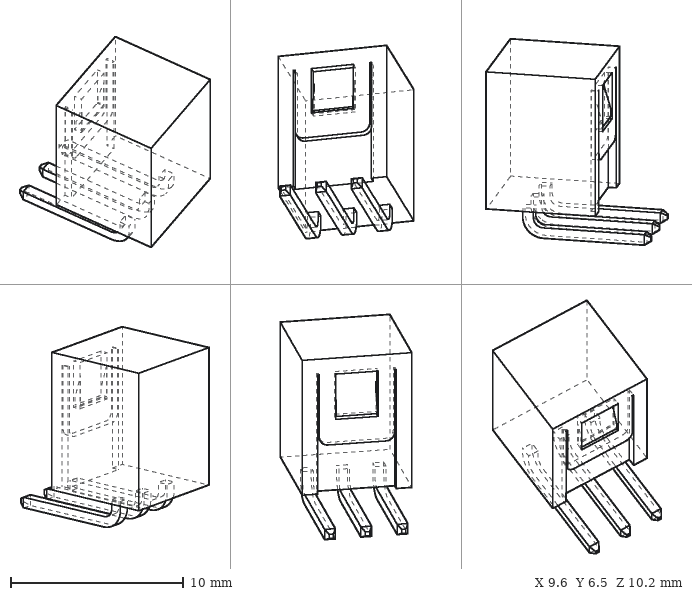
import cadquery as cq

housing_side = 6.5
housing_height = 8.36
overall_length = 9.6
overall_height = 10.17

recess_width = 4.66
recess_depth = 0.47
recess_top = housing_height - 1.0

slot_width = 0.1
tongue_width = recess_width - 2 * slot_width
tongue_bottom = housing_height - 5.36
tongue_radius = 0.51

window_width = 2.5
window_bottom = housing_height - 3.8

catch_width = 2.4
catch_height = 0.4
catch_top = housing_height - 1.81
catch_ridge = housing_height - 3.17
catch_bottom = housing_height - 3.65

pin_count = 3
pin_pitch = 2.15
pin_size = 0.64
pin_setback = 3.85
bend_inner_radius = 0.6
tip_length = 0.36
tip_size = 0.24


def block(depth, width, bottom, top):
    """Box running back from the latch face, centred on Y = 0."""
    box = cq.Workplane("XY").box(depth, width, top - bottom, centered=(False, True, False))
    return box.translate((0, 0, bottom))


def make_housing():
    body = block(housing_side, housing_side, 0, housing_height)
    recess = block(recess_depth, recess_width, 0, recess_top)
    return body.cut(recess)


def make_tongue():
    tongue = block(recess_depth, tongue_width, tongue_bottom, recess_top)
    tongue = tongue.edges("|X and <Z").fillet(tongue_radius)
    window = block(recess_depth, window_width, window_bottom, recess_top)
    return tongue.cut(window)


def make_catch():
    """Wedge that slopes out to a ridge and ends in a flat front and a flat underside."""
    ridge_x = recess_depth - catch_height
    return (
        cq.Workplane("XZ")
        .moveTo(recess_depth, catch_top)
        .lineTo(ridge_x, catch_ridge)
        .lineTo(ridge_x, catch_bottom)
        .lineTo(recess_depth, catch_bottom)
        .close()
        .extrude(catch_width / 2, both=True)
    )


def make_pin():
    """Horizontal leg, quarter bend and upright leg, with a tapered tip on the horizontal end."""
    bend_radius = bend_inner_radius + pin_size / 2
    upright_x = pin_setback + pin_size / 2
    level_z = housing_height - overall_height + pin_size / 2
    taper_x = housing_side - overall_length + tip_length

    path = (
        cq.Workplane("XZ")
        .moveTo(taper_x, level_z)
        .lineTo(upright_x - bend_radius, level_z)
        .radiusArc((upright_x, level_z + bend_radius), -bend_radius)
        .lineTo(upright_x, 0)
    )
    taper_plane = cq.Workplane("YZ", origin=(taper_x, 0, level_z))
    bar = taper_plane.rect(pin_size, pin_size).sweep(path)
    tip = (
        taper_plane.rect(pin_size, pin_size)
        .workplane(offset=-tip_length)
        .rect(tip_size, tip_size)
        .loft()
    )
    return bar.union(tip)


result = make_housing().union(make_tongue()).union(make_catch())

pin = make_pin()
first_pin_y = -pin_pitch * (pin_count - 1) / 2
for index in range(pin_count):
    result = result.union(pin.translate((0, first_pin_y + index * pin_pitch, 0)))